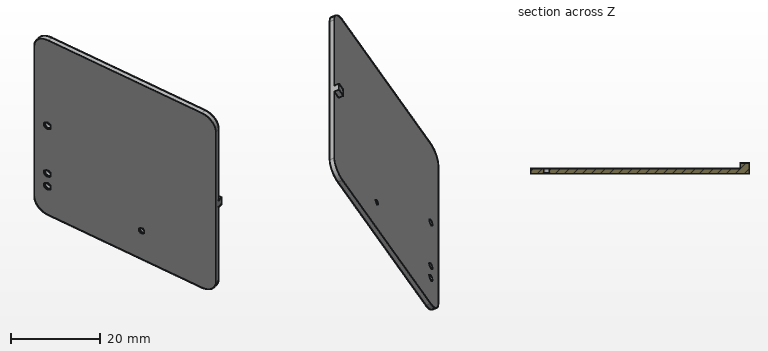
import cadquery as cq

plate_width = 49.0
plate_height = 55.0
plate_thickness = 1.2
corner_radius = 3.8

tab_size = 2.1
tab_depth = 1.2

indicator_diameter = 1.55
reset_diameter = 1.15
countersink = 0.2
indicator_x = -plate_width / 2 + 3.6
charging_z = -plate_height / 2 + 8.95
charge_ok_z = charging_z + 4.0
power_z = charge_ok_z + 15.0
reset_x = indicator_x + 25.4


def make_plate():
    """Plate with rounded corners, running from y = 0 back to y = plate_thickness."""
    return (
        cq.Workplane("XZ")
        .rect(plate_width, plate_height)
        .extrude(-plate_thickness)
        .edges("|Y")
        .fillet(corner_radius)
    )


def make_tab():
    """Small block standing on the back face at the +X edge."""
    return (
        cq.Workplane("XZ", origin=(0, plate_thickness, 0))
        .center((plate_width - tab_size) / 2, 0)
        .rect(tab_size, tab_size)
        .extrude(-tab_depth)
    )


def make_hole(x, z, diameter):
    """Through-hole cutter with a 45 degree countersink opening on the front face."""
    radius = diameter / 2
    return (
        cq.Workplane("XY", origin=(x, 0, z))
        .moveTo(0, 0)
        .lineTo(radius + countersink, 0)
        .lineTo(radius, countersink)
        .lineTo(radius, plate_thickness)
        .lineTo(0, plate_thickness)
        .close()
        .revolve(360, (0, 0, 0), (0, 1, 0))
    )


result = make_plate().union(make_tab())

for hole_z in (power_z, charge_ok_z, charging_z):
    result = result.cut(make_hole(indicator_x, hole_z, indicator_diameter))

result = result.cut(make_hole(reset_x, charging_z, reset_diameter))